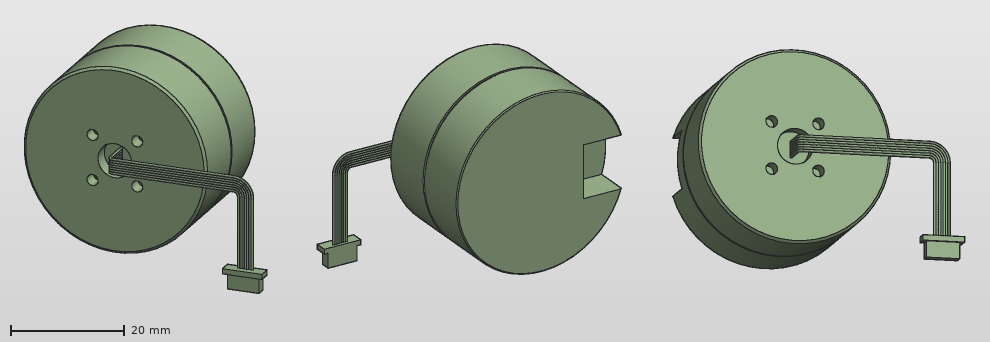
import cadquery as cq
import math


housing_radius = 17.5
housing_length = 22.95
front_chamfer = 0.45
rear_chamfer = 0.25

groove_start = 10.95
groove_width = 0.45
groove_depth = 0.45

notch_height = 10.5
notch_length = 6.9
notch_floor_x = -housing_radius / 2

hole_depth = 3.0
cable_bore_diameter = 6.45
screw_hole_diameter = 2.1
screw_hole_spacing = 8.5

wire_count = 7
wire_diameter = 0.45
wire_pitch = 0.435
cable_plane_y = -25.7
exit_bend_radius = 0.7
corner_inner_radius = 0.7

connector_x = 26.0
connector_front_y = -27.25
connector_bottom_z = -19.65
flange_width = 7.55
flange_depth = 2.45
flange_thickness = 1.0
plug_width = 6.0
plug_depth = 1.95
plug_height = 2.95

front_face_y = -housing_length
bore_floor_y = front_face_y + hole_depth
connector_rear_y = connector_front_y + flange_depth
flange_bottom_z = connector_bottom_z + plug_height
flange_top_z = flange_bottom_z + flange_thickness


def make_housing():
    """Chamfered cylinder with the dividing groove around it."""
    cylinder = (
        cq.Workplane("XZ")
        .circle(housing_radius)
        .extrude(housing_length)
        .faces("<Y").chamfer(front_chamfer)
        .faces(">Y").chamfer(rear_chamfer)
    )
    groove = (
        cq.Workplane("XZ", origin=(0, -groove_start, 0))
        .circle(housing_radius + groove_depth)
        .circle(housing_radius - groove_depth)
        .extrude(groove_width)
    )
    return cylinder.cut(groove)


def make_notch():
    """Block that opens through the rear face and the -X side."""
    return cq.Workplane("XY").box(
        housing_radius, 2 * notch_length, notch_height
    ).translate((notch_floor_x - housing_radius / 2, 0, 0))


def make_front_holes():
    """Central cable bore with four screw holes around it."""
    front = cq.Workplane("XZ", origin=(0, front_face_y, 0))
    bore = front.circle(cable_bore_diameter / 2).extrude(-hole_depth)
    screw_holes = (
        front.rect(screw_hole_spacing, screw_hole_spacing, forConstruction=True)
        .vertices()
        .circle(screw_hole_diameter / 2)
        .extrude(-hole_depth)
    )
    return bore.union(screw_holes)


def make_wire(offset):
    """One wire of the ribbon, shifted outwards from the ribbon centre by the offset."""
    ribbon_half_width = ((wire_count - 1) * wire_pitch + wire_diameter) / 2
    corner_radius = corner_inner_radius + ribbon_half_width + offset
    drop_x = connector_x + offset
    corner_x = drop_x - corner_radius
    corner_z = offset - corner_radius
    diagonal = math.sqrt(0.5)

    exit_start = cq.Vector(0, cable_plane_y + exit_bend_radius, offset)
    exit_middle = cq.Vector(
        exit_bend_radius * (1 - diagonal),
        cable_plane_y + exit_bend_radius * (1 - diagonal),
        offset,
    )
    exit_end = cq.Vector(exit_bend_radius, cable_plane_y, offset)
    corner_start = cq.Vector(corner_x, cable_plane_y, offset)
    corner_middle = cq.Vector(
        corner_x + corner_radius * diagonal,
        cable_plane_y,
        corner_z + corner_radius * diagonal,
    )
    corner_end = cq.Vector(drop_x, cable_plane_y, corner_z)

    path = cq.Wire.assembleEdges([
        cq.Edge.makeLine(cq.Vector(0, bore_floor_y, offset), exit_start),
        cq.Edge.makeThreePointArc(exit_start, exit_middle, exit_end),
        cq.Edge.makeLine(exit_end, corner_start),
        cq.Edge.makeThreePointArc(corner_start, corner_middle, corner_end),
        cq.Edge.makeLine(corner_end, cq.Vector(drop_x, cable_plane_y, flange_top_z)),
    ])
    return (
        cq.Workplane("XZ", origin=(0, bore_floor_y, offset))
        .circle(wire_diameter / 2)
        .sweep(cq.Workplane(path))
    )


def connector_block(width, depth, height, bottom_z):
    """Block centred on the cable drop with its rear side flush with the connector's."""
    return (
        cq.Workplane("XY", origin=(connector_x, connector_rear_y - depth / 2, bottom_z))
        .rect(width, depth)
        .extrude(height)
    )


result = make_housing().cut(make_notch()).cut(make_front_holes())
result = result.union(connector_block(flange_width, flange_depth, flange_thickness, flange_bottom_z))
result = result.union(connector_block(plug_width, plug_depth, plug_height, connector_bottom_z))
for index in range(wire_count):
    result = result.union(make_wire((index - (wire_count - 1) / 2) * wire_pitch))